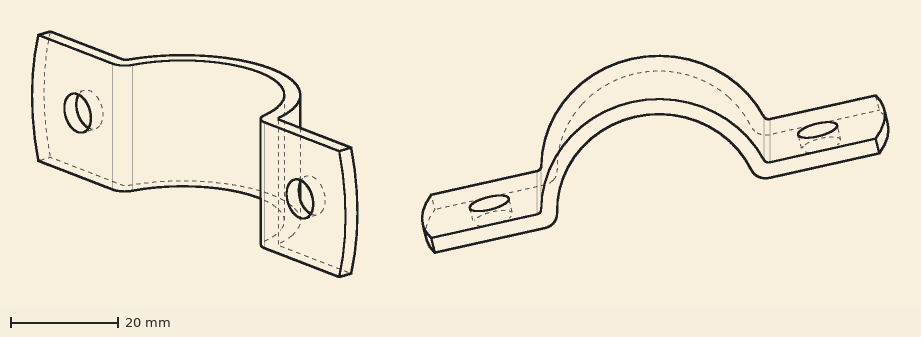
import cadquery as cq
import math


thickness = 3.0
width = 25.0
length = 88.88
arch_inner_radius = 19.0
ear_front_y = 1.5
hole_diameter = 7.5
hole_spacing = 63.0
corner_fillet = 1.0

arch_outer_radius = arch_inner_radius + thickness
ear_back_y = ear_front_y + thickness
half_length = length / 2
half_width = width / 2
corner_x = math.sqrt(arch_outer_radius**2 - ear_back_y**2)
corner_angle = math.atan2(ear_back_y, corner_x)


def bend_start(side):
    """Point where the inside of the arch runs into the bend."""
    return (
        side * arch_inner_radius * math.cos(corner_angle),
        arch_inner_radius * math.sin(corner_angle),
    )


def bend_middle(side):
    """Point halfway around the bend, between the arch and the ear."""
    angle = (math.pi + corner_angle + 1.5 * math.pi) / 2
    return (
        side * (corner_x + thickness * math.cos(angle)),
        ear_back_y + thickness * math.sin(angle),
    )


def make_strip():
    """Bent strip with square ends and filleted corners behind the arch."""
    strip = (
        cq.Workplane("XY", origin=(0, 0, -half_width))
        .moveTo(-half_length, ear_front_y)
        .lineTo(-corner_x, ear_front_y)
        .threePointArc(bend_middle(-1), bend_start(-1))
        .threePointArc((0, arch_inner_radius), bend_start(1))
        .threePointArc(bend_middle(1), (corner_x, ear_front_y))
        .lineTo(half_length, ear_front_y)
        .lineTo(half_length, ear_back_y)
        .lineTo(corner_x, ear_back_y)
        .threePointArc((0, arch_outer_radius), (-corner_x, ear_back_y))
        .lineTo(-half_length, ear_back_y)
        .close()
        .extrude(width)
    )
    for side in (-1, 1):
        corner = cq.selectors.NearestToPointSelector((side * corner_x, ear_back_y, 0))
        strip = strip.edges("|Z").edges(corner).fillet(corner_fillet)
    return strip


def make_end_disc():
    """Disc along Y, as wide as the clamp is long, that rounds the ear ends."""
    depth = arch_outer_radius - ear_front_y
    return cq.Workplane("XZ", origin=(0, ear_front_y, 0)).circle(half_length).extrude(-depth)


def make_holes():
    """Screw holes through both ears."""
    return (
        cq.Workplane("XZ", origin=(0, ear_front_y, 0))
        .pushPoints([(-hole_spacing / 2, 0), (hole_spacing / 2, 0)])
        .circle(hole_diameter / 2)
        .extrude(-thickness)
    )


result = make_strip().intersect(make_end_disc()).cut(make_holes())